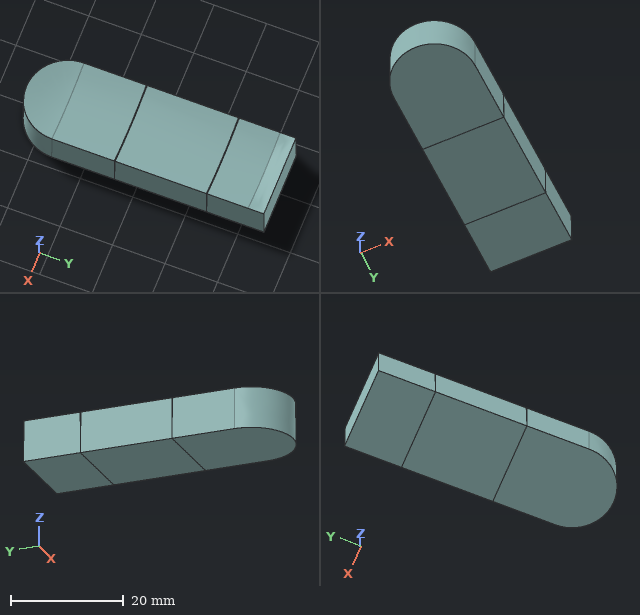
import cadquery as cq
import math

WIDTH = 16.0
TOTAL_LENGTH = 48.45
HEIGHT = 7.9
TAIL_LENGTH = 10.95
MIDDLE_LENGTH = 17.55
DRAFT_ANGLE = 0.5
TROUGH_DEPTH = 0.95
RAMP_LENGTH = 3.0

NOSE_RADIUS = WIDTH / 2
BACK_Y = TOTAL_LENGTH - NOSE_RADIUS
TAIL_JOINT_Y = BACK_Y - TAIL_LENGTH
NOSE_JOINT_Y = TAIL_JOINT_Y - MIDDLE_LENGTH

DRAFT_INSET = HEIGHT * math.tan(math.radians(DRAFT_ANGLE))
TOP_HALF_WIDTH = NOSE_RADIUS - DRAFT_INSET
TOP_BACK_Y = BACK_Y - DRAFT_INSET
RAMP_START_Y = TOP_BACK_Y - RAMP_LENGTH

LEFT_EDGE = (-TOP_HALF_WIDTH, HEIGHT)
RIGHT_EDGE = (TOP_HALF_WIDTH, HEIGHT)
TROUGH_BOTTOM = (0, HEIGHT - TROUGH_DEPTH)


def drafted_block(front_y, back_y):
    """Rectangular block whose four walls lean inwards towards the top."""
    return (
        cq.Workplane("XY")
        .center(0, (front_y + back_y) / 2)
        .rect(WIDTH, back_y - front_y)
        .extrude(HEIGHT, taper=DRAFT_ANGLE)
    )


def drafted_nose_block():
    """Block with a half-round front end and the same leaning walls."""
    return (
        cq.Workplane("XY")
        .moveTo(-NOSE_RADIUS, NOSE_JOINT_Y)
        .lineTo(-NOSE_RADIUS, 0)
        .threePointArc((0, -NOSE_RADIUS), (NOSE_RADIUS, 0))
        .lineTo(NOSE_RADIUS, NOSE_JOINT_Y)
        .close()
        .extrude(HEIGHT, taper=DRAFT_ANGLE)
    )


def trough_cutter():
    """Shallow circular-arc channel from the nose centre to the foot of the ramp."""
    return (
        cq.Workplane("XZ")
        .moveTo(*LEFT_EDGE)
        .threePointArc(TROUGH_BOTTOM, RIGHT_EDGE)
        .close()
        .extrude(-RAMP_START_Y)
    )


def dish_cutter():
    """Spherical cap that closes the trough at the round nose."""
    arc_radius = (TOP_HALF_WIDTH**2 + TROUGH_DEPTH**2) / (2 * TROUGH_DEPTH)
    arc_middle_x = TOP_HALF_WIDTH / 2
    arc_center_z = HEIGHT - TROUGH_DEPTH + arc_radius
    arc_middle_z = arc_center_z - math.sqrt(arc_radius**2 - arc_middle_x**2)
    return (
        cq.Workplane("XZ")
        .moveTo(*TROUGH_BOTTOM)
        .threePointArc((arc_middle_x, arc_middle_z), RIGHT_EDGE)
        .lineTo(0, HEIGHT)
        .close()
        .revolve(360, (0, 0), (0, 1))
    )


def ramp_cutter():
    """Ruled ramp from the trough's arc up to the straight top edge of the back wall."""
    foot_left = cq.Vector(-TOP_HALF_WIDTH, RAMP_START_Y, HEIGHT)
    foot_bottom = cq.Vector(0, RAMP_START_Y, HEIGHT - TROUGH_DEPTH)
    foot_right = cq.Vector(TOP_HALF_WIDTH, RAMP_START_Y, HEIGHT)
    back_left = cq.Vector(-TOP_HALF_WIDTH, TOP_BACK_Y, HEIGHT)
    back_right = cq.Vector(TOP_HALF_WIDTH, TOP_BACK_Y, HEIGHT)

    foot_arc = cq.Edge.makeThreePointArc(foot_left, foot_bottom, foot_right)
    foot_chord = cq.Edge.makeLine(foot_right, foot_left)
    back_edge = cq.Edge.makeLine(back_left, back_right)

    ramp_face = cq.Face.makeRuledSurface(foot_arc, back_edge)
    foot_face = cq.Face.makeFromWires(cq.Wire.assembleEdges([foot_arc, foot_chord]))
    lid_wire = cq.Wire.makePolygon([foot_left, foot_right, back_right, back_left], close=True)
    lid_face = cq.Face.makeFromWires(lid_wire)
    shell = cq.Shell.makeShell([ramp_face, foot_face, lid_face])
    return cq.Workplane(obj=cq.Solid.makeSolid(shell).fix())


trough = trough_cutter()
nose = drafted_nose_block().cut(trough).cut(dish_cutter())
middle = drafted_block(NOSE_JOINT_Y, TAIL_JOINT_Y).cut(trough)
tail = drafted_block(TAIL_JOINT_Y, BACK_Y).cut(trough).cut(ramp_cutter())

result = cq.Compound.makeCompound([nose.solids().val(), middle.solids().val(), tail.solids().val()])